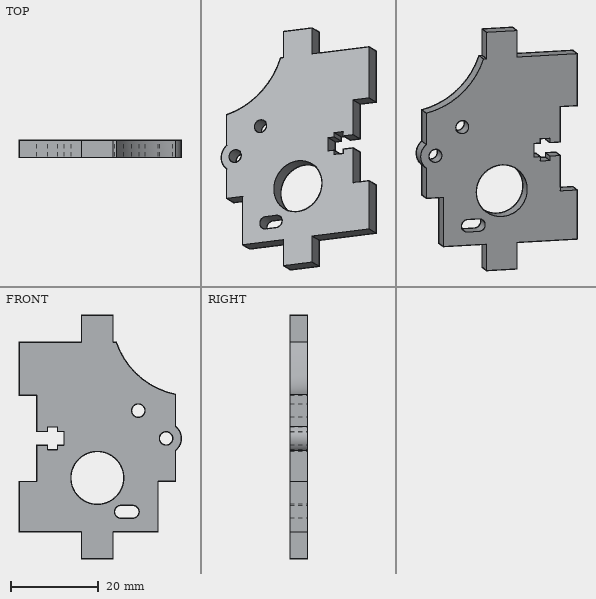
import cadquery as cq
import math

thickness = 4.0
height = 55.5
body_width = 35.65
body_bottom = 6.15
body_top = height - body_bottom

tab_center = body_width / 2
tab_width = 7.2
tab_left = tab_center - tab_width / 2
tab_right = tab_center + tab_width / 2

notch_depth = 4.0
notch_height = 19.6
notch_center = 27.4
notch_bottom = notch_center - notch_height / 2
notch_top = notch_center + notch_height / 2
step_x = body_width - notch_depth

corner_radius = 18.0
corner_start_x = 22.15
corner_end_z = 37.45

ear_radius = 3.5
ear_x = 33.45

slot_end = 10.2
slot_height = 3.1
cross_left = 6.5
cross_width = 2.2
cross_height = 5.15

pin_diameter = 3.0
pin_offset = 6.3
bore_diameter = 12.0
bore_z = 18.4
obround_x = 24.55
obround_z = 10.7
obround_length = 5.55
obround_height = 2.9


def section():
    """Workplane whose local axes are X and Z, extruding toward -Y."""
    return cq.Workplane("XZ")


def make_plate():
    ear_half_height = math.sqrt(ear_radius**2 - (body_width - ear_x) ** 2)
    return (
        section()
        .moveTo(0, body_bottom)
        .lineTo(tab_left, body_bottom)
        .lineTo(tab_left, 0)
        .lineTo(tab_right, 0)
        .lineTo(tab_right, body_bottom)
        .lineTo(step_x, body_bottom)
        .lineTo(step_x, notch_bottom)
        .lineTo(body_width, notch_bottom)
        .lineTo(body_width, notch_center - ear_half_height)
        .threePointArc(
            (ear_x + ear_radius, notch_center),
            (body_width, notch_center + ear_half_height),
        )
        .lineTo(body_width, corner_end_z)
        .radiusArc((corner_start_x, body_top), corner_radius)
        .lineTo(tab_right, body_top)
        .lineTo(tab_right, height)
        .lineTo(tab_left, height)
        .lineTo(tab_left, body_top)
        .lineTo(0, body_top)
        .lineTo(0, notch_top)
        .lineTo(notch_depth, notch_top)
        .lineTo(notch_depth, notch_bottom)
        .lineTo(0, notch_bottom)
        .close()
        .extrude(thickness)
    )


def make_cross_slot():
    channel = (
        section().center(slot_end / 2, notch_center).rect(slot_end, slot_height).extrude(thickness)
    )
    crossbar = (
        section()
        .center(cross_left + cross_width / 2, notch_center)
        .rect(cross_width, cross_height)
        .extrude(thickness)
    )
    return channel.union(crossbar)


def make_hole(x, z, diameter):
    return section().center(x, z).circle(diameter / 2).extrude(thickness)


def make_obround():
    return section().center(obround_x, obround_z).slot2D(obround_length, obround_height).extrude(thickness)


result = (
    make_plate()
    .cut(make_cross_slot())
    .cut(make_hole(tab_center, bore_z, bore_diameter))
    .cut(make_hole(ear_x, notch_center, pin_diameter))
    .cut(make_hole(ear_x - pin_offset, notch_center + pin_offset, pin_diameter))
    .cut(make_obround())
)